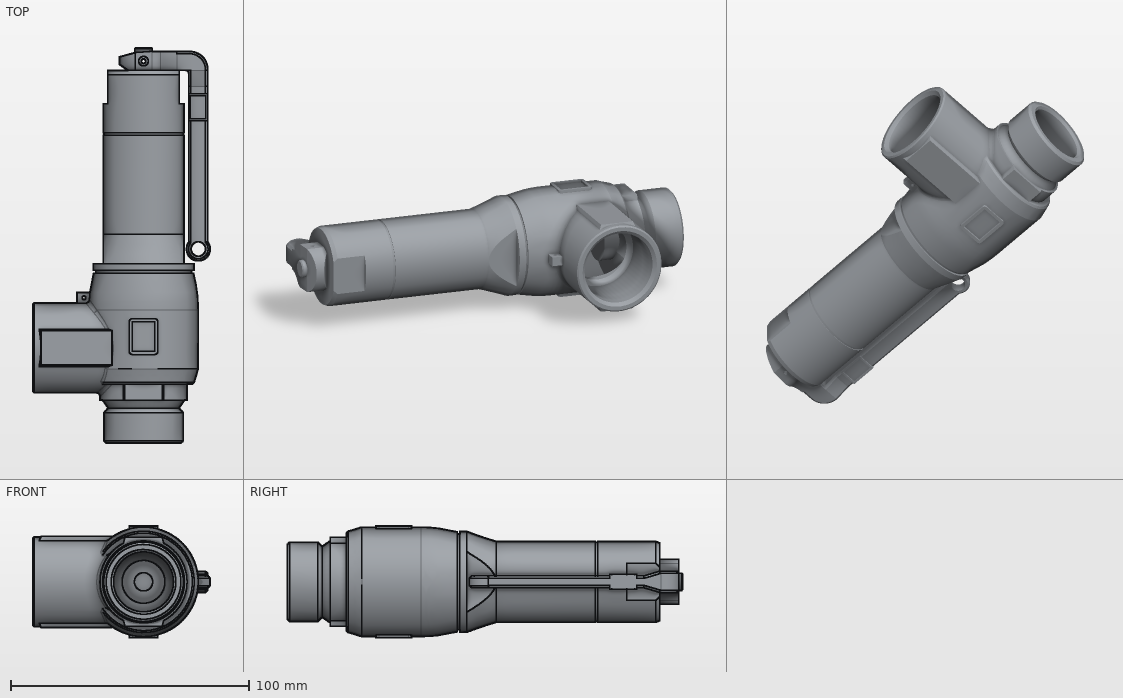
import cadquery as cq
import math


inlet_end_y = -40.0
thread_radius = 16.7
thread_chamfer = 1.0
thread_top_y = -27.2
relief_radius = 14.9
relief_y = -25.3
ring_bottom_y = -22.0
ring_lower_radius = 17.2
ring_radius = 18.3
ring_top_y = -15.2
wrench_pad_half_width = 7.8
wrench_pad_base_half_width = 8.5
wrench_pad_base_z = 16.0
wrench_pad_z = 18.75

body_radius = 23.0
body_bottom_radius = 21.3
body_bottom_edge = 0.8
body_cone_top_y = -8.8
barrel_start_y = 16.0
barrel_mid = (22.5, 23.7)
body_top_y = 31.4
body_top_radius = 21.0

nozzle_mouth_radius = 13.6
nozzle_bore_radius = 12.6
nozzle_taper_y = -24.0
seat_throat_y = -13.5
seat_radius = 9.0
nozzle_outer_radius = 10.8
seat_y = -8.5
cavity_radius = 20.0
cavity_floor_y = -12.0
cavity_top_y = 11.6

disc_top_y = -6.4
disc_dimple_radius = 3.85
disc_dimple_depth = 0.5

outlet_end_x = -46.5
outlet_radius = 18.9
outlet_edge_chamfer = 0.6
outlet_root_fillet = 1.5
root_margin = 0.1
outlet_thread_radius = 15.2
outlet_mouth_chamfer = 1.4
outlet_thread_depth = 25.0
outlet_throat_radius = 13.0
outlet_pad_x = (-43.8, -12.5)
outlet_pad_half_width = 7.9
outlet_pad_z = 19.2
outlet_pad_draft = 0.8

lug_x = (-28.0, -21.0)
lug_y = (17.5, 23.3)
lug_thickness = 3.8
lug_hole_x = -25.0
lug_hole_y = 21.0
lug_hole_diameter = 1.4

frame_half_width = 6.0
frame_y = (-2.8, 12.2)
frame_corner_radius = 1.3
frame_rim = 1.3
frame_base_z = 21.0
frame_z = 23.5
frame_recess = 1.0

spigot_radius = 18.0
neck_radius = 20.2
flange_bottom_y = 32.5
flange_top_y = 35.4
flange_radius = 21.2
bonnet_radius = 17.0
bonnet_cone_top_y = 47.7
bonnet_top_y = 89.3
bonnet_flat_x = 17.0

gasket_radius = 16.7
cap_bottom_y = 90.3
cap_top_y = 116.5
cap_chamfer_length = 1.8
cap_chamfer_depth = 0.7
cap_flat_x = 15.1
cap_flat_bottom_y = 102.6

stem_radius = 3.0
stem_bottom_y = 105.0
button_radius = 3.7
button_bottom_y = 123.6
button_top_y = 126.1
button_chamfer = 0.5
pin_y = 120.4
pin_radius = 2.0
pin_bore_radius = 0.9

head_half_width = 9.5
head_nose_radius = 10.1
head_flat_half_length = math.sqrt(head_nose_radius**2 - head_half_width**2)
head_tip_x = -head_nose_radius
head_tip_y = (119.0, 122.2)
head_tip_length = 3.6
head_tip_top_y = 123.2
head_top_y = 124.0
arm_start_x = 14.0
arm_half_width = 4.5
arm_blend_x = 7.0
lever_top_y = 124.5
handle_x = (18.9, 27.0)
bend_outer_radius = 7.6
bend_inner_radius = 1.2
handle_half_thickness = 2.5
handle_edge = 1.0
taper_end_y = 109.8
eye_x = 23.0
eye_y = 41.5
eye_radius = 5.0
eye_hole_radius = 3.0
eye_edge = 0.9
badge_y = (95.4, 106.7)
badge_rim = 0.8
badge_height = 0.6


def turned(points):
    """Solid of revolution about Y from a closed outline of (radius, y) points."""
    return cq.Workplane("XY").polyline(points).close().revolve(360, (0, 0, 0), (0, 1, 0))


def rod_y(radius, bottom_y, top_y):
    """Cylinder along Y."""
    return turned([(0, bottom_y), (radius, bottom_y), (radius, top_y), (0, top_y)])


def rod_z(radius, x, y, half_length):
    """Cylinder along Z, centred on the XY plane."""
    return cq.Workplane("XY").center(x, y).circle(radius).extrude(half_length, both=True)


def block(x_range, y_range, z_range):
    """Box between two limits on each axis."""
    ranges = (x_range, y_range, z_range)
    size = [high - low for low, high in ranges]
    corner = cq.Vector(*[low for low, high in ranges])
    return cq.Workplane(cq.Solid.makeBox(*size, corner))


def both_z(shape):
    """The shape joined with its mirror image across the XY plane."""
    return shape.union(shape.mirror("XY"))


def body_shell():
    """Outside of the inlet spigot, wrench ring and barrel."""
    return (
        cq.Workplane("XY")
        .moveTo(0, inlet_end_y)
        .lineTo(thread_radius - thread_chamfer, inlet_end_y)
        .lineTo(thread_radius, inlet_end_y + thread_chamfer)
        .lineTo(thread_radius, thread_top_y)
        .lineTo(relief_radius, relief_y)
        .lineTo(ring_lower_radius, ring_bottom_y)
        .lineTo(ring_radius, ring_bottom_y)
        .lineTo(ring_radius, ring_top_y)
        .lineTo(body_bottom_radius - body_bottom_edge, ring_top_y)
        .lineTo(body_bottom_radius, ring_top_y + body_bottom_edge)
        .lineTo(body_radius, body_cone_top_y)
        .lineTo(body_radius, barrel_start_y)
        .threePointArc(barrel_mid, (body_top_radius, body_top_y))
        .lineTo(0, body_top_y)
        .close()
        .revolve(360, (0, 0, 0), (0, 1, 0))
    )


def outlet_tube():
    """Solid outlet cylinder from the outlet end to the valve axis."""
    tube = cq.Workplane("YZ").circle(outlet_radius).extrude(outlet_end_x)
    return tube.faces("<X").chamfer(outlet_edge_chamfer)


def body_with_outlet():
    """Barrel and outlet tube joined with a fillet around the outlet root."""
    reach = outlet_radius + root_margin
    root = cq.selectors.BoxSelector(
        (-body_radius, -reach, -reach),
        (-nozzle_outer_radius, reach, reach),
        boundingbox=True,
    )
    joined = body_shell().union(outlet_tube())
    return joined.edges(root).fillet(outlet_root_fillet)


def outlet_pad():
    """Flat marking pad with drafted sides on top of the outlet."""
    length = outlet_pad_x[1] - outlet_pad_x[0]
    middle = sum(outlet_pad_x) / 2
    base_z = outlet_radius - 2 * outlet_pad_draft
    return (
        cq.Workplane("XY")
        .workplane(offset=base_z)
        .center(middle, 0)
        .rect(length, 2 * outlet_pad_half_width)
        .workplane(offset=outlet_pad_z - base_z)
        .rect(length - 2 * outlet_pad_draft, 2 * (outlet_pad_half_width - outlet_pad_draft))
        .loft()
    )


def emblem_plate():
    """Raised rounded plate that carries the emblem frame."""
    return (
        cq.Workplane("XY")
        .workplane(offset=frame_base_z)
        .center(0, sum(frame_y) / 2)
        .rect(2 * frame_half_width, frame_y[1] - frame_y[0])
        .extrude(frame_z - frame_base_z)
        .edges("|Z")
        .fillet(frame_corner_radius)
    )


def emblem_field():
    """Recessed field inside the emblem frame."""
    return block(
        (-frame_half_width + frame_rim, frame_half_width - frame_rim),
        (frame_y[0] + frame_rim, frame_y[1] - frame_rim),
        (frame_z - frame_recess, frame_z),
    )


def wrench_pad():
    """Flat pad with drafted sides on the wrench ring."""
    base_z = nozzle_mouth_radius
    outline = [
        (-wrench_pad_base_half_width, base_z),
        (-wrench_pad_base_half_width, wrench_pad_base_z),
        (-wrench_pad_half_width, wrench_pad_z),
        (wrench_pad_half_width, wrench_pad_z),
        (wrench_pad_base_half_width, wrench_pad_base_z),
        (wrench_pad_base_half_width, base_z),
    ]
    side = cq.Workplane("XZ", origin=(0, ring_top_y, 0)).polyline(outline).close()
    return side.extrude(ring_top_y - ring_bottom_y)


def sealing_lug():
    """Small lug with a wire hole in the corner between outlet and barrel."""
    half = lug_thickness / 2
    lug = block(lug_x, lug_y, (-half, half))
    return lug.cut(rod_z(lug_hole_diameter / 2, lug_hole_x, lug_hole_y, half))


def outlet_bore():
    """Outlet thread bore with a mouth chamfer, a cone and a narrower throat."""
    mouth_radius = outlet_thread_radius + outlet_mouth_chamfer
    cone_start_x = outlet_end_x + outlet_thread_depth
    cone_end_x = cone_start_x + outlet_thread_radius - outlet_throat_radius
    outline = [
        (outlet_end_x, 0),
        (outlet_end_x, mouth_radius),
        (outlet_end_x + outlet_mouth_chamfer, outlet_thread_radius),
        (cone_start_x, outlet_thread_radius),
        (cone_end_x, outlet_throat_radius),
        (0, outlet_throat_radius),
        (0, 0),
    ]
    return cq.Workplane("XY").polyline(outline).close().revolve(360, (0, 0, 0), (1, 0, 0))


def inlet_bore():
    """Nozzle bore that narrows from the inlet mouth to the seat."""
    mouth_chamfer = nozzle_mouth_radius - nozzle_bore_radius
    return (
        cq.Workplane("XY")
        .moveTo(0, inlet_end_y)
        .lineTo(nozzle_mouth_radius, inlet_end_y)
        .lineTo(nozzle_bore_radius, inlet_end_y + mouth_chamfer)
        .lineTo(nozzle_bore_radius, nozzle_taper_y)
        .tangentArcPoint((seat_radius, seat_throat_y), relative=False)
        .lineTo(seat_radius, seat_y)
        .lineTo(0, seat_y)
        .close()
        .revolve(360, (0, 0, 0), (0, 1, 0))
    )


def make_body():
    shell = body_with_outlet()
    cavity = rod_y(cavity_radius, cavity_floor_y, cavity_top_y).union(outlet_bore())
    nozzle = rod_y(nozzle_outer_radius, inlet_end_y, seat_y)
    shell = shell.union(both_z(outlet_pad())).union(both_z(wrench_pad()))
    shell = shell.union(both_z(emblem_plate())).cut(both_z(emblem_field())).union(sealing_lug())
    shell = shell.cut(cavity.cut(nozzle)).cut(inlet_bore())
    return shell.cut(rod_y(spigot_radius, cavity_top_y, body_top_y))


def make_disc():
    disc = rod_y(nozzle_outer_radius, seat_y, disc_top_y)
    return disc.cut(rod_y(disc_dimple_radius, seat_y, seat_y + disc_dimple_depth))


def make_bonnet():
    turned_part = turned(
        [
            (0, cavity_top_y),
            (spigot_radius, cavity_top_y),
            (spigot_radius, body_top_y),
            (neck_radius, body_top_y),
            (neck_radius, flange_bottom_y),
            (flange_radius, flange_bottom_y),
            (flange_radius, flange_top_y),
            (bonnet_radius, bonnet_cone_top_y),
            (bonnet_radius, bonnet_top_y),
            (0, bonnet_top_y),
        ]
    )
    for low_x, high_x in ((-flange_radius, -bonnet_flat_x), (bonnet_flat_x, flange_radius)):
        flat = block(
            (low_x, high_x),
            (flange_top_y, bonnet_cone_top_y),
            (-flange_radius, flange_radius),
        )
        turned_part = turned_part.cut(flat)
    return turned_part


def make_gasket():
    return rod_y(gasket_radius, bonnet_top_y, cap_bottom_y)


def make_cap():
    cap = turned(
        [
            (0, cap_bottom_y),
            (bonnet_radius, cap_bottom_y),
            (bonnet_radius, cap_top_y - cap_chamfer_length),
            (bonnet_radius - cap_chamfer_depth, cap_top_y),
            (0, cap_top_y),
        ]
    )
    for low_x, high_x in ((-bonnet_radius, -cap_flat_x), (cap_flat_x, bonnet_radius)):
        flat = block(
            (low_x, high_x),
            (cap_flat_bottom_y, cap_top_y),
            (-bonnet_radius, bonnet_radius),
        )
        cap = cap.cut(flat)
    return cap.cut(rod_y(stem_radius, stem_bottom_y, cap_top_y))


def make_spindle():
    button = rod_y(button_radius, button_bottom_y, button_top_y)
    button = button.faces(">Y").chamfer(button_chamfer)
    spindle = rod_y(stem_radius, stem_bottom_y, button_bottom_y).union(button)
    return spindle.cut(rod_z(pin_radius, 0, pin_y, head_half_width))


def make_pin():
    pin = rod_z(pin_radius, 0, pin_y, head_half_width)
    return pin.cut(rod_z(pin_bore_radius, 0, pin_y, head_half_width))


def lever_head():
    """Head with a round nose and parallel pin flats, narrowing in an S-curve to the arm."""
    base_x = head_tip_x + head_tip_length
    side = (
        cq.Workplane("XY")
        .moveTo(head_tip_x, head_tip_y[0])
        .lineTo(head_tip_x, head_tip_y[1])
        .lineTo(base_x, head_tip_top_y)
        .lineTo(-head_flat_half_length, head_top_y)
        .lineTo(head_flat_half_length, lever_top_y)
        .lineTo(arm_start_x, lever_top_y)
        .lineTo(arm_start_x, cap_top_y)
        .lineTo(base_x, cap_top_y)
        .close()
        .extrude(head_half_width, both=True)
    )
    blend_share = (arm_blend_x - head_flat_half_length) / (arm_start_x - head_flat_half_length)
    blend_z = head_half_width - blend_share * (head_half_width - arm_half_width)
    nose_mid = head_nose_radius * math.sqrt(0.5)
    half_plan = (
        cq.Workplane("XZ", origin=(0, lever_top_y, 0))
        .moveTo(head_tip_x, 0)
        .threePointArc((-nose_mid, nose_mid), (-head_flat_half_length, head_half_width))
        .lineTo(head_flat_half_length, head_half_width)
        .tangentArcPoint((arm_blend_x, blend_z), relative=False)
        .tangentArcPoint((arm_start_x, arm_half_width), relative=False)
        .lineTo(arm_start_x, 0)
        .close()
        .extrude(lever_top_y - cap_top_y)
    )
    return side.intersect(both_z(half_plan))


def lever_arm():
    """Arm from the head around the bend, with its top and bend edges bevelled."""
    outer_x = handle_x[1]
    arm = (
        cq.Workplane("XY")
        .moveTo(arm_blend_x, cap_top_y)
        .lineTo(arm_blend_x, lever_top_y)
        .lineTo(outer_x - bend_outer_radius, lever_top_y)
        .tangentArcPoint((outer_x, lever_top_y - bend_outer_radius), relative=False)
        .lineTo(outer_x, cap_top_y)
        .close()
        .extrude(arm_half_width, both=True)
    )
    return arm.faces("|Z").edges("not(<X or <Y)").chamfer(handle_edge)


def lever_taper():
    """Wedge below the bend that thins the arm to the handle."""
    inner_x, outer_x = handle_x
    outline = [
        (cap_top_y, -arm_half_width),
        (cap_top_y, arm_half_width),
        (taper_end_y, handle_half_thickness),
        (taper_end_y, -handle_half_thickness),
    ]
    wedge = cq.Workplane("YZ", origin=(inner_x, 0, 0)).polyline(outline).close()
    return wedge.extrude(outer_x - inner_x).edges("not(|X or |Z)").chamfer(handle_edge)


def lever_handle():
    """Straight handle with bevelled long edges, ending in an eye."""
    thickness = (-handle_half_thickness, handle_half_thickness)
    bar = block(handle_x, (eye_y, taper_end_y), thickness).edges("|Y").chamfer(handle_edge)
    eye = rod_z(eye_radius, eye_x, eye_y, handle_half_thickness)
    eye = eye.faces("|Z").chamfer(eye_edge)
    return bar.union(eye).cut(rod_z(eye_hole_radius, eye_x, eye_y, handle_half_thickness))


def lever_badge():
    """Raised rectangular rim on both faces of the handle."""
    inner_x, outer_x = handle_x
    low_y, high_y = badge_y
    z_range = (handle_half_thickness - handle_edge, handle_half_thickness + badge_height)
    field_z = (handle_half_thickness, z_range[1])
    plate = block(handle_x, badge_y, z_range)
    field = block(
        (inner_x + badge_rim, outer_x - badge_rim),
        (low_y + badge_rim, high_y - badge_rim),
        field_z,
    )
    return both_z(plate.cut(field))


def make_lever():
    arm = lever_head().union(lever_arm())
    inner_corner = cq.selectors.NearestToPointSelector((handle_x[0], cap_top_y, 0))
    lever = arm.union(lever_taper()).edges(inner_corner).fillet(bend_inner_radius)
    lever = lever.union(lever_handle()).union(lever_badge())
    lever = lever.cut(rod_y(stem_radius, cap_top_y, button_bottom_y))
    lever = lever.cut(rod_y(button_radius, button_bottom_y, button_top_y))
    return lever.cut(rod_z(pin_radius, 0, pin_y, head_half_width))


body = make_body()
disc = make_disc()
bonnet = make_bonnet()
gasket = make_gasket()
cap = make_cap()
spindle = make_spindle()
pin = make_pin()
lever = make_lever()

bodies = [body, disc, bonnet, gasket, cap, spindle, pin, lever]
result = cq.Compound.makeCompound([part.solids().val() for part in bodies])